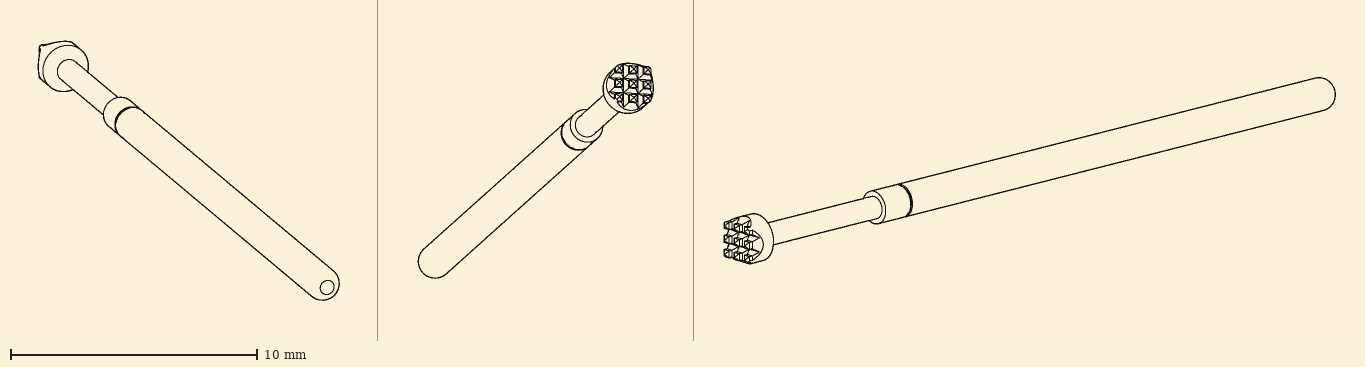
import cadquery as cq

length = 33.28
head_round_start = 1.25
head_end = 1.55
collar_start = 7.82
collar_end = 9.22
barrel_start = 9.32
tail_round_start = 32.68

head_diameter = 1.95
stem_diameter = 0.93
collar_diameter = 1.35
neck_diameter = 1.23
barrel_diameter = 1.35
tail_flat_diameter = 0.6

head_round_middle = (1.45, 0.73)
tail_round_middle = (33.08, 0.55)

tip_pitch = 0.6
cap_depth = 0.13
cap_half_width = 0.15
shank_end = 0.3
flank_slope = 0.6
groove_half_width = tip_pitch / 2
groove_depth = shank_end + (groove_half_width - cap_half_width) / flank_slope
outer_reach = tip_pitch
outer_depth = shank_end + (outer_reach - cap_half_width) / flank_slope


def cylinder(start, end, diameter):
    """Solid cylinder about the X axis between two stations."""
    return cq.Workplane("YZ").workplane(offset=start).circle(diameter / 2).extrude(end - start)


def inner_groove(side):
    """Cutter along Z between the middle row of tips and the row on the given side."""
    outer_tip = side * tip_pitch
    return (
        cq.Workplane("XY")
        .lineTo(cap_depth, side * cap_half_width)
        .lineTo(shank_end, side * cap_half_width)
        .lineTo(groove_depth, side * groove_half_width)
        .lineTo(shank_end, outer_tip - side * cap_half_width)
        .lineTo(cap_depth, outer_tip - side * cap_half_width)
        .lineTo(0, outer_tip)
        .close()
        .extrude(head_diameter, both=True)
    )


def outer_cutter(side):
    """Cutter along Z that slopes from the outer row of tips down past the rim."""
    tip = side * tip_pitch
    return (
        cq.Workplane("XY")
        .moveTo(0, tip)
        .lineTo(cap_depth, tip + side * cap_half_width)
        .lineTo(shank_end, tip + side * cap_half_width)
        .lineTo(outer_depth, tip + side * outer_reach)
        .lineTo(0, tip + side * outer_reach)
        .close()
        .extrude(head_diameter, both=True)
    )


def crown_head():
    """Head with a rounded back and the toothed crown cut into its front."""
    head = (
        cq.Workplane("XY")
        .lineTo(0, head_diameter / 2)
        .lineTo(head_round_start, head_diameter / 2)
        .threePointArc(head_round_middle, (head_end, stem_diameter / 2))
        .lineTo(head_end, 0)
        .close()
        .revolve(360, (0, 0, 0), (1, 0, 0))
    )
    for side in (-1, 1):
        for cutter in (inner_groove(side), outer_cutter(side)):
            head = head.cut(cutter)
            head = head.cut(cutter.rotate((0, 0, 0), (1, 0, 0), 90))
    return head


def round_ended_barrel():
    """Barrel whose far end rounds in to a small flat."""
    return (
        cq.Workplane("XY")
        .moveTo(barrel_start, 0)
        .lineTo(barrel_start, barrel_diameter / 2)
        .lineTo(tail_round_start, barrel_diameter / 2)
        .threePointArc(tail_round_middle, (length, tail_flat_diameter / 2))
        .lineTo(length, 0)
        .close()
        .revolve(360, (0, 0, 0), (1, 0, 0))
    )


stem = cylinder(head_end, collar_start, stem_diameter)
collar = cylinder(collar_start, collar_end, collar_diameter)
neck = cylinder(collar_end, barrel_start, neck_diameter)

result = crown_head().union(stem).union(collar).union(neck).union(round_ended_barrel())